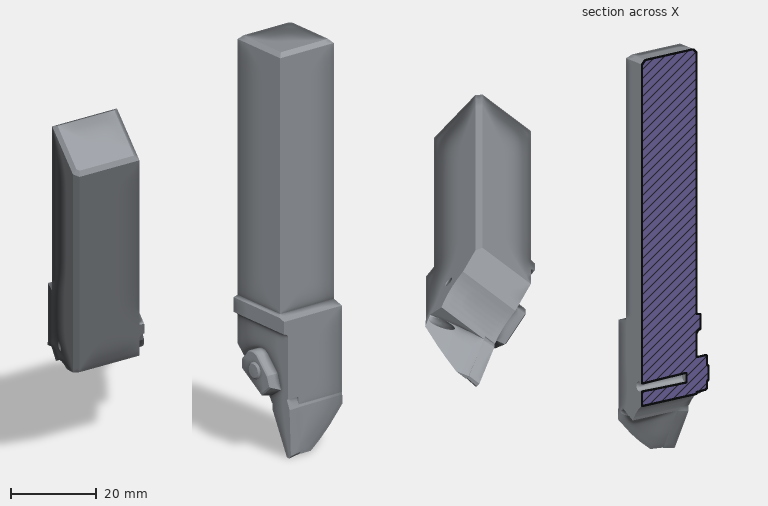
import cadquery as cq
import math

shank = 16.0
total_height = 100.0
end_chamfer = 1.0
edge_chamfer = 1.2

head_left = -3.0
shoulder_top = 35.1
shoulder_angle = 15.0
pad_rise = 1.2
pad_bottom = 31.1
slope_right_z = 23.0
slope_inner = (10.4, 17.7)
throat_mid = (5.5, 15.0)
throat_end = (3.1, 11.9)

step_top = 12.7
step_bottom = 12.1
blade_bottom = 0.6
blade_bottom_right = -2.8
blade_left_top = -3.1
blade_left_low = -3.6
blade_left_drift = 0.2

lean_angle = 27.5
relief_corner = (-0.95, 11.6)
relief_width = 10.0
relief_reach = 20.0
floor_mid = (1.8, 7.3)
floor_end = 3.4

insert_thickness = 3.0
insert_top_left = (-2.5, 14.4)
insert_top_right = (2.9, 12.0)
insert_underside = [
    (-3.3, step_bottom),
    insert_top_left,
    insert_top_right,
    (2.4, 10.9),
    (-2.7, 0.5),
    (-3.4, 0.5),
    (-3.8, 1.1),
]
insert_face = [
    (-3.5, step_bottom),
    insert_top_left,
    insert_top_right,
    (2.9, 10.4),
    (-2.5, 0.0),
    (-3.4, 0.0),
    (-4.0, 0.8),
]
notch_ceiling = 14.6
notch_left = head_left - 1.0

clamp_rise = 3.0
screw_center = (5.7, 20.0)
screw_radius = 2.1
screw_rise = 0.5
screw_chamfer = 0.4
clamp_chamfer = 0.3
clamp_left_corner = (1.0, 20.0)
clamp_arc_start = (4.5, 23.6)
clamp_arc_mid = (6.9, 24.6)
clamp_arc_end = (9.4, 22.9)
clamp_right = 10.8
clamp_right_top = 21.5
clamp_right_bottom = 19.0
clamp_nose_base = ((-0.3, 16.2), (3.0, 13.9))
clamp_nose_top = ((0.0, 17.4), (3.5, 14.4))

hole_diameter = 2.4
hole_radius = hole_diameter / 2
hole_drift = 0.4
hole_center = (5.2, 20.0)

seat_y = shank - insert_thickness
shoulder_slope = math.tan(math.radians(shoulder_angle))
head_corner_z = shoulder_top + head_left * shoulder_slope


def xz_plane(y):
    """Plane at the given Y, local axes along X and Z; a negative extrusion goes toward +Y."""
    return cq.Plane(origin=(0, y, 0), xDir=(1, 0, 0), normal=(0, -1, 0))


def loft_along_y(start_y, start_outline, end_y, end_outline):
    """Ruled solid between two XZ outlines with matching points."""
    wires = []
    for y, outline in ((start_y, start_outline), (end_y, end_outline)):
        points = [cq.Vector(x, y, z) for x, z in outline]
        wires.append(cq.Wire.makePolygon(points, close=True))
    return cq.Workplane(cq.Solid.makeLoft(wires, True))


def make_shank():
    """Bar above the head, with one long edge and the top end chamfered."""
    bar = cq.Workplane().box(shank, shank, total_height - slope_right_z, centered=False)
    bar = bar.translate((0, 0, slope_right_z))
    bar = bar.edges("|Z and >X and <Y").chamfer(edge_chamfer)
    return bar.faces(">Z").edges().chamfer(end_chamfer)


def make_head():
    """Head between the shank and the blade, down to the concave throat."""
    head = (
        cq.Workplane(xz_plane(0))
        .moveTo(head_left, head_corner_z)
        .lineTo(0, shoulder_top)
        .lineTo(shank, shoulder_top)
        .lineTo(shank, slope_right_z)
        .lineTo(*slope_inner)
        .threePointArc(throat_mid, throat_end)
        .lineTo(head_left, step_top)
        .close()
        .extrude(-shank)
    )
    corner = (
        cq.Workplane()
        .moveTo(shank, 0)
        .lineTo(shank - edge_chamfer, 0)
        .lineTo(shank, edge_chamfer)
        .close()
        .extrude(total_height)
    )
    return head.cut(corner)


def make_pad():
    """Raised strip on the +Y side: sloped on top, with a full-height fillet below."""
    side = (
        cq.Workplane("YZ", origin=(head_left, 0, 0))
        .moveTo(shank, shoulder_top)
        .lineTo(shank + pad_rise, shoulder_top - pad_rise * shoulder_slope)
        .lineTo(shank + pad_rise, pad_bottom)
        .radiusArc((shank, pad_bottom - pad_rise), -pad_rise)
        .close()
        .extrude(shank - head_left)
    )
    front = (
        cq.Workplane(xz_plane(shank))
        .moveTo(head_left, 0)
        .lineTo(head_left, head_corner_z)
        .lineTo(0, shoulder_top)
        .lineTo(shank, shoulder_top)
        .lineTo(shank, 0)
        .close()
        .extrude(-pad_rise)
    )
    return side.intersect(front)


def blade_outline(drift):
    """Blade outline in XZ, its left side moved outward by the drift."""
    return [
        (head_left, step_top),
        (blade_left_top - drift, step_bottom),
        (blade_left_low - drift, blade_bottom),
        (blade_bottom_right, blade_bottom),
        throat_end,
    ]


def make_blade():
    """Blade, spreading to the left as it nears the insert."""
    return loft_along_y(0, blade_outline(0), seat_y, blade_outline(blade_left_drift))


def make_hole(center):
    """Blind hole from the -Y side that drifts toward +X with depth."""
    start = cq.Workplane(xz_plane(0)).center(*center).circle(hole_radius)
    return start.workplane(offset=-seat_y).center(hole_drift, 0).circle(hole_radius).loft()


def make_relief():
    """Space in front of the blade: curved floor, square end wall and a round corner hole."""
    lean = math.radians(lean_angle)
    along = cq.Vector(math.sin(lean), 0, math.cos(lean))
    across = cq.Vector(math.cos(lean), 0, -math.sin(lean))
    wall = cq.Vector(relief_corner[0], 0, relief_corner[1]) + along * hole_radius
    profile = cq.Plane(origin=wall.toTuple(), xDir=across.toTuple(), normal=along.toTuple())
    cutter = (
        cq.Workplane(profile)
        .moveTo(-hole_radius, 0)
        .threePointArc(floor_mid, (floor_end, seat_y))
        .lineTo(relief_width, seat_y)
        .lineTo(relief_width, 0)
        .close()
        .extrude(-relief_reach)
    )
    return cutter.union(make_hole(relief_corner))


def make_insert():
    """Triangular insert that narrows away from its cutting face for relief."""
    return loft_along_y(seat_y, insert_underside, shank, insert_face)


def make_notch():
    """Clearance in the holder above the insert's sloping upper left side."""
    corner_x, corner_z = insert_top_left
    return (
        cq.Workplane(xz_plane(seat_y))
        .moveTo(corner_x, corner_z)
        .lineTo(corner_x, notch_ceiling)
        .lineTo(notch_left, notch_ceiling)
        .lineTo(notch_left, step_bottom)
        .lineTo(*insert_underside[0])
        .close()
        .extrude(-insert_thickness)
    )


def clamp_outline(sketch, nose):
    """Closed clamp outline; the nose gives the ends of its lower left edge."""
    return (
        sketch.moveTo(*nose[0])
        .lineTo(*clamp_left_corner)
        .lineTo(*clamp_arc_start)
        .threePointArc(clamp_arc_mid, clamp_arc_end)
        .lineTo(clamp_right, clamp_right_top)
        .lineTo(clamp_right, clamp_right_bottom)
        .lineTo(*nose[1])
        .close()
    )


def make_clamp():
    """Clamp block with the head of its screw."""
    base = clamp_outline(cq.Workplane(xz_plane(shank)), clamp_nose_base)
    clamp = clamp_outline(base.workplane(offset=-clamp_rise), clamp_nose_top).loft(ruled=True)
    clamp = clamp.faces(">Y").edges().chamfer(clamp_chamfer)
    screw = (
        cq.Workplane(xz_plane(shank + clamp_rise))
        .center(*screw_center)
        .circle(screw_radius)
        .extrude(-screw_rise)
        .faces(">Y")
        .chamfer(screw_chamfer)
    )
    return clamp.union(screw)


insert = make_insert()
holder = make_shank().union(make_head()).union(make_pad()).union(make_blade())
holder = holder.cut(make_relief()).cut(make_hole(hole_center)).cut(make_notch()).cut(insert)
holder = holder.union(make_clamp())

result = cq.Compound.makeCompound([holder.val(), insert.val()])